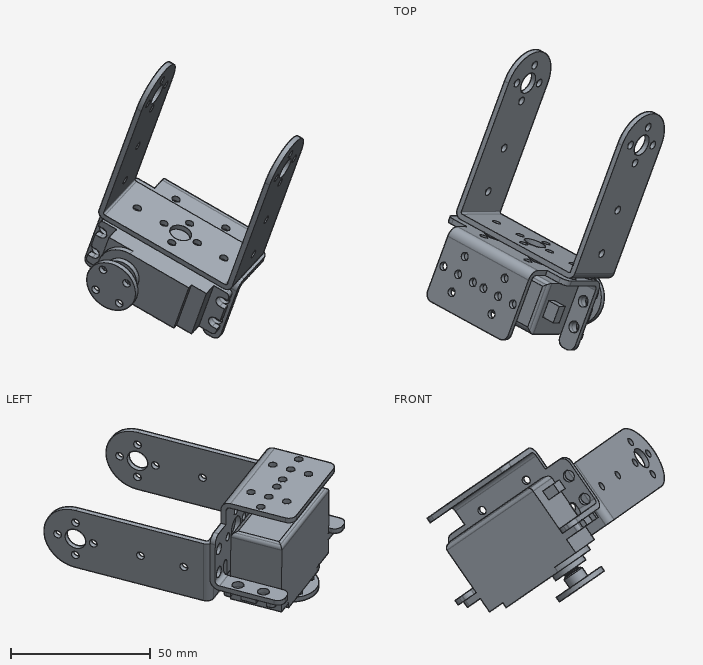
import cadquery as cq
import math


TURN_ABOUT_Z = -24.24
ROLL_ABOUT_X = 0.25
PITCH_ABOUT_Y = -34.61

SHEET = 2.0
SCREW_DIA = 3.0
BORE_DIA = 8.0
BOLT_CIRCLE_RADIUS = 7.0

ARM_SPAN = 56.0
ARM_RADIUS = 12.35
ARM_WIDTH = 2 * ARM_RADIUS
ARM_BORE_Y = 53.0
ARM_SCREWS_Y = (10.5, 27.5)
ARM_BEND_INSIDE = 0.75
BASE_SCREW_X = 18.2

SHELF_WIDTH = 38.4
SHELF_TOP = 26.1
SHELF_DEPTH = 28.2
SHELF_CORNER = 3.0
SHELF_SCREWS_Y = -14.4
SHELF_ROW_X = (2.5, 9.5, 16.5)
SHELF_PAIR_X = 9.5
SHELF_PAIR_DY = 7.0
BRACKET_BEND_INSIDE = 1.75
BRACKET_BEND_OUTSIDE = BRACKET_BEND_INSIDE + SHEET
HORN_PATTERN_X = 10.5
HORN_PATTERN_Z = 10.1
EAR_OUTSIDE = 28.5
EAR_TOP = 16.5
EAR_CORNER = 3.0
EAR_HOLE_DIA = 4.2
EAR_HOLE_PITCH = 10.0
EAR_HOLE_X = 25.2
EAR_HOLE_MID_Z = 4.7
TAB_INSIDE = 21.1
TAB_BOTTOM = -5.8
TAB_LENGTH = 28.2
TAB_CORNER = 3.0
RELIEF_INSIDE = 18.3
RELIEF_CENTRE_Z = 0.0

SERVO_LENGTH = 41.0
SERVO_WIDTH = 20.0
SERVO_MID_Y = -14.5
SERVO_TOP = 14.6
SERVO_BOTTOM = -14.2
SERVO_TOP_BEVEL_WIDTH = 2.0
SERVO_TOP_BEVEL_DROP = 0.9
SERVO_TOP_FILLET = 1.7
FLANGE_LENGTH = 54.4
FLANGE_BOTTOM = -8.4
FLANGE_CORNER = 1.5
FLANGE_SLOT_X = 25.2
PLUG_WIDTH = 6.4
PLUG_BOTTOM = 6.8
PLUG_TOP = 10.6
PLUG_LENGTH = 5.0

SHAFT_X = 10.5
COVER_END_X = -14.2
COVER_BOTTOM = -16.3
COLLAR_RADIUS = 6.6
COLLAR_BOTTOM = -18.4
SPLINE_TEETH = 25
SPLINE_TIP_RADIUS = 2.9
SPLINE_ROOT_RADIUS = 2.6
HUB_RADIUS = 3.95
HUB_TOP = -19.4
HUB_CHAMFER = 0.5
HORN_RADIUS = 9.8
HORN_TOP = -23.4
HORN_BOTTOM = HORN_TOP - SHEET
HORN_FIRST_SCREW = 45.0


def block(x_range, y_range, z_range):
    """Box between the given limits."""
    size = [high - low for low, high in (x_range, y_range, z_range)]
    corner = (x_range[0], y_range[0], z_range[0])
    return cq.Workplane("XY").box(*size, centered=False).translate(corner)


def cylinder(radius, centre, z_range):
    """Upright cylinder about the (x, y) centre."""
    height = z_range[1] - z_range[0]
    return cq.Workplane("XY", origin=(*centre, z_range[0])).circle(radius).extrude(height)


def drill(plane, origin, points, diameter, depth):
    """Holes at points of a plane placed at origin, reaching depth to both sides."""
    holes = cq.Workplane(plane, origin=origin).pushPoints(points).circle(diameter / 2)
    return holes.extrude(depth, both=True)


def mirrored(shape):
    """The shape together with its mirror image across the YZ plane."""
    return shape.union(shape.mirror("YZ"))


def bolt_circle(centre, first_angle=0.0):
    """Four points on the horn bolt circle."""
    angles = [math.radians(first_angle + 90 * i) for i in range(4)]
    return [
        (
            centre[0] + BOLT_CIRCLE_RADIUS * math.cos(angle),
            centre[1] + BOLT_CIRCLE_RADIUS * math.sin(angle),
        )
        for angle in angles
    ]


def horn_pattern(plane, origin, centre):
    """Bore with its four screw holes, through one sheet at the given plane."""
    bore = drill(plane, origin, [centre], BORE_DIA, 2 * SHEET)
    return bore.union(drill(plane, origin, bolt_circle(centre), SCREW_DIA, 2 * SHEET))


def u_bracket():
    """The U-bracket without its base holes, and the cutter for those holes."""
    half_span = ARM_SPAN / 2
    half_width = ARM_WIDTH / 2
    inside = half_span - SHEET
    body = block((-half_span, half_span), (0, ARM_BORE_Y), (-half_width, half_width))
    body = body.edges("|Z and <Y").fillet(ARM_BEND_INSIDE + SHEET)
    opening = block((-inside, inside), (SHEET, 2 * ARM_BORE_Y), (-half_width, half_width))
    body = body.cut(opening.edges("|Z and <Y").fillet(ARM_BEND_INSIDE))

    end = cq.Workplane("YZ", origin=(inside, 0, 0)).center(ARM_BORE_Y, 0).circle(ARM_RADIUS).extrude(SHEET)
    body = body.union(mirrored(end))

    arm_origin = (half_span, 0, 0)
    arm_screws = [(y, 0) for y in ARM_SCREWS_Y]
    arm_holes = horn_pattern("YZ", arm_origin, (ARM_BORE_Y, 0))
    arm_holes = arm_holes.union(drill("YZ", arm_origin, arm_screws, SCREW_DIA, 2 * SHEET))
    base_screws = [(-BASE_SCREW_X, 0), (BASE_SCREW_X, 0)]
    base_holes = horn_pattern("XZ", (0, SHEET / 2, 0), (0, 0))
    base_holes = base_holes.union(drill("XZ", (0, SHEET / 2, 0), base_screws, SCREW_DIA, SHEET))
    return body.cut(mirrored(arm_holes)), base_holes


def bent_sheet(x_range, depth, wall_end, outer_face):
    """L-shaped sheet: a wall behind Y = 0 and a leaf of the given depth at outer_face."""
    inward = math.copysign(1, wall_end - outer_face)
    inner_face = outer_face + inward * SHEET
    bend_end = outer_face + inward * BRACKET_BEND_OUTSIDE
    bend_mid_y = -BRACKET_BEND_OUTSIDE
    diagonal = math.sqrt(0.5)

    def on_bend(radius):
        return (bend_mid_y + radius * diagonal, bend_end - inward * radius * diagonal)

    return (
        cq.Workplane("YZ", origin=(x_range[0], 0, 0))
        .moveTo(0, wall_end)
        .lineTo(0, bend_end)
        .threePointArc(on_bend(BRACKET_BEND_OUTSIDE), (bend_mid_y, outer_face))
        .lineTo(-depth, outer_face)
        .lineTo(-depth, inner_face)
        .lineTo(bend_mid_y, inner_face)
        .threePointArc(on_bend(BRACKET_BEND_INSIDE), (-SHEET, bend_end))
        .lineTo(-SHEET, wall_end)
        .close()
        .extrude(x_range[1] - x_range[0])
    )


def servo_bracket():
    half_shelf = SHELF_WIDTH / 2
    shelf = bent_sheet((-half_shelf, half_shelf), SHELF_DEPTH, EAR_TOP, SHELF_TOP)
    shelf = shelf.edges("|Z and <Y").fillet(SHELF_CORNER)

    ear = bent_sheet((TAB_INSIDE, EAR_OUTSIDE), TAB_LENGTH, EAR_TOP, TAB_BOTTOM)
    ear = ear.edges("|Z and <Y").fillet(TAB_CORNER)
    ear = ear.edges("|Y and >X and >Z").fillet(EAR_CORNER)
    middle = block((-TAB_INSIDE, TAB_INSIDE), (-SHEET, 0), (TAB_BOTTOM, EAR_TOP))
    bracket = shelf.union(mirrored(ear)).union(middle)

    relief_radius = (TAB_INSIDE - RELIEF_INSIDE) / 2
    relief_x = RELIEF_INSIDE + relief_radius
    relief = block((RELIEF_INSIDE, TAB_INSIDE), (-SHEET, 0), (TAB_BOTTOM, RELIEF_CENTRE_Z))
    relief_top = drill("XZ", (0, -SHEET / 2, 0), [(relief_x, RELIEF_CENTRE_Z)], 2 * relief_radius, SHEET / 2)
    bracket = bracket.cut(mirrored(relief.union(relief_top)))

    back_holes = horn_pattern("XZ", (0, -SHEET, 0), (HORN_PATTERN_X, HORN_PATTERN_Z))
    half_pitch = EAR_HOLE_PITCH / 2
    ear_points = [(EAR_HOLE_X, EAR_HOLE_MID_Z + dz) for dz in (-half_pitch, half_pitch)]
    ear_holes = drill("XZ", (0, -SHEET, 0), ear_points, EAR_HOLE_DIA, SHEET)
    tab_points = [(EAR_HOLE_X, SERVO_MID_Y + dy) for dy in (-half_pitch, half_pitch)]
    tab_holes = drill("XY", (0, 0, TAB_BOTTOM), tab_points, EAR_HOLE_DIA, SHEET)
    shelf_points = [(x, SHELF_SCREWS_Y) for x in SHELF_ROW_X]
    shelf_points += [(SHELF_PAIR_X, SHELF_SCREWS_Y + dy) for dy in (-SHELF_PAIR_DY, SHELF_PAIR_DY)]
    shelf_holes = drill("XY", (0, 0, SHELF_TOP), shelf_points, SCREW_DIA, SHEET)
    for holes in (back_holes, ear_holes, tab_holes, shelf_holes):
        bracket = bracket.cut(mirrored(holes))
    return bracket


def servo_flange():
    """Mounting flange under the tabs, with two open slots at each end."""
    half_length = FLANGE_LENGTH / 2
    half_width = SERVO_WIDTH / 2
    y_range = (SERVO_MID_Y - half_width, SERVO_MID_Y + half_width)
    z_range = (FLANGE_BOTTOM, TAB_BOTTOM)
    flange = block((-half_length, half_length), y_range, z_range)
    flange = flange.edges("|Z").fillet(FLANGE_CORNER)
    radius = EAR_HOLE_DIA / 2
    for side in (-1, 1):
        y = SERVO_MID_Y + side * EAR_HOLE_PITCH / 2
        slot = block((FLANGE_SLOT_X, half_length), (y - radius, y + radius), z_range)
        slot = slot.union(cylinder(radius, (FLANGE_SLOT_X, y), z_range))
        flange = flange.cut(mirrored(slot))
    return flange


def servo_case(y_range):
    """Case with a shallow bevel around its top, rounded into the walls."""
    half_length = SERVO_LENGTH / 2
    case = block((-half_length, half_length), y_range, (SERVO_BOTTOM, SERVO_TOP))
    case = case.faces(">Z").edges().chamfer(SERVO_TOP_BEVEL_DROP, SERVO_TOP_BEVEL_WIDTH)
    bevel_foot = SERVO_TOP - SERVO_TOP_BEVEL_DROP
    margin = SERVO_TOP_BEVEL_DROP / 2
    foot_box = cq.selectors.BoxSelector(
        (-SERVO_LENGTH, y_range[0] - margin, bevel_foot - margin),
        (SERVO_LENGTH, y_range[1] + margin, bevel_foot + margin),
    )
    return case.edges(foot_box).edges("#Z").fillet(SERVO_TOP_FILLET)


def servo_body():
    half_width = SERVO_WIDTH / 2
    y_range = (SERVO_MID_Y - half_width, SERVO_MID_Y + half_width)
    plug_x = (0, SERVO_LENGTH / 2 + PLUG_LENGTH)
    plug_y = (SERVO_MID_Y - PLUG_WIDTH / 2, SERVO_MID_Y + PLUG_WIDTH / 2)
    plug = block(plug_x, plug_y, (PLUG_BOTTOM, PLUG_TOP))
    cover_z = (COVER_BOTTOM, SERVO_BOTTOM)
    cover = block((COVER_END_X, SHAFT_X), y_range, cover_z)
    cover = cover.union(cylinder(half_width, (SHAFT_X, SERVO_MID_Y), cover_z))
    return servo_case(y_range).union(plug).union(cover).union(servo_flange())


def spline():
    """Toothed shaft between the collar and the horn."""
    points = []
    for tooth in range(SPLINE_TEETH):
        for half_step, radius in ((0, SPLINE_TIP_RADIUS), (0.5, SPLINE_ROOT_RADIUS)):
            angle = 2 * math.pi * (tooth + half_step) / SPLINE_TEETH
            points.append((radius * math.cos(angle), radius * math.sin(angle)))
    start = (SHAFT_X, SERVO_MID_Y, HORN_TOP)
    return cq.Workplane("XY", origin=start).polyline(points).close().extrude(COLLAR_BOTTOM - HORN_TOP)


def servo_output():
    axis = (SHAFT_X, SERVO_MID_Y)
    collar = cylinder(COLLAR_RADIUS, axis, (COLLAR_BOTTOM, COVER_BOTTOM))
    hub = cylinder(HUB_RADIUS, axis, (HORN_TOP, HUB_TOP)).faces(">Z").chamfer(HUB_CHAMFER)
    horn = cylinder(HORN_RADIUS, axis, (HORN_BOTTOM, HORN_TOP))
    screws = bolt_circle(axis, HORN_FIRST_SCREW)
    horn = horn.cut(drill("XY", (0, 0, HORN_TOP), screws, SCREW_DIA, SHEET))
    return collar.union(spline()).union(hub).union(horn)


bracket, base_holes = u_bracket()
bracket = bracket.cut(base_holes)
joint = bracket.union(servo_bracket()).union(servo_body()).union(servo_output())

result = (
    joint.rotate((0, 0, 0), (0, 0, 1), TURN_ABOUT_Z)
    .rotate((0, 0, 0), (1, 0, 0), ROLL_ABOUT_X)
    .rotate((0, 0, 0), (0, 1, 0), PITCH_ABOUT_Y)
)